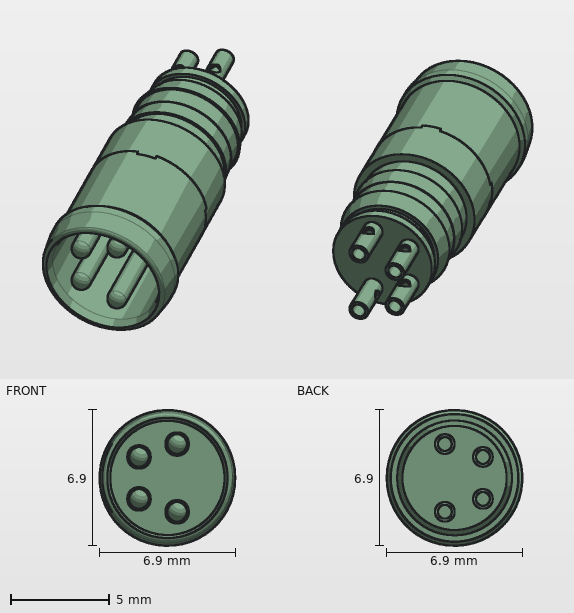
import cadquery as cq

length = 16.4

lip_round_depth = 0.15
collar_taper_end = 1.25
collar_chamfer_start = 1.74
collar_back = 1.98
key_front = 6.3
seam = 6.5
barrel_back = 9.09
sleeve_barb_edge = 10.1
sleeve_barb_root = 11.09
tail_barb_edge = 12.1
groove_front = 13.1
groove_back = 13.6
flange_back = 14.1

lip_diameter = 6.63
lip_round_width = 0.21
lip_round_radius = 0.23
collar_diameter = 6.9
shell_diameter = 6.5
barrel_diameter = 6.48
neck_diameter = 5.63
barb_diameter = 5.84
barb_root_diameter = 5.67
flange_diameter = 5.3
groove_diameter = 4.9

mouth_diameter = 6.12
bore_diameter = 5.8
mouth_taper_depth = 0.5
socket_depth = 6.0

key_width = 1.0
key_count = 4

pin_diameter = 1.0
pin_collar_diameter = 1.2
pin_collar_height = 0.16
dome_center_y = 0.77
left_pin_x = -1.45
left_pin_z = 1.07
right_pin_x = 0.5
right_pin_z = 1.72
cup_diameter = 0.7
solder_hole_diameter = 0.6
solder_hole_y = 14.9
cup_depth = 1.97


def make_body():
    """Revolve the stepped outside and the tapered socket about Y."""
    lip_radius = lip_diameter / 2
    socket_radius = bore_diameter / 2
    outline = (
        cq.Workplane("XY")
        .moveTo(0, socket_depth)
        .lineTo(socket_radius, socket_depth)
        .lineTo(socket_radius, mouth_taper_depth)
        .lineTo(mouth_diameter / 2, 0)
        .lineTo(lip_radius - lip_round_width, 0)
        .radiusArc((lip_radius, lip_round_depth), -lip_round_radius)
        .lineTo(collar_diameter / 2, collar_taper_end)
        .lineTo(collar_diameter / 2, collar_chamfer_start)
        .lineTo(shell_diameter / 2, collar_back)
        .lineTo(shell_diameter / 2, seam)
        .lineTo(barrel_diameter / 2, seam)
        .lineTo(barrel_diameter / 2, barrel_back)
        .lineTo(neck_diameter / 2, barrel_back)
        .lineTo(neck_diameter / 2, sleeve_barb_edge)
        .lineTo(barb_diameter / 2, sleeve_barb_edge)
        .lineTo(barb_root_diameter / 2, sleeve_barb_root)
        .lineTo(neck_diameter / 2, sleeve_barb_root)
        .lineTo(neck_diameter / 2, tail_barb_edge)
        .lineTo(barb_diameter / 2, tail_barb_edge)
        .lineTo(flange_diameter / 2, groove_front)
        .lineTo(groove_diameter / 2, groove_front)
        .lineTo(groove_diameter / 2, groove_back)
        .lineTo(flange_diameter / 2, groove_back)
        .lineTo(flange_diameter / 2, flange_back)
        .lineTo(0, flange_back)
        .close()
    )
    return outline.revolve(360, (0, 0, 0), (0, 1, 0))


def rod(diameter, start, end, x=0, z=0):
    """Cylinder along Y between two stations."""
    start_point = cq.Vector(x, start, z)
    solid = cq.Solid.makeCylinder(diameter / 2, end - start, start_point, cq.Vector(0, 1, 0))
    return cq.Workplane(obj=solid)


def make_key_recesses():
    """Shallow notches in the shell edge that expose the barrel keys."""
    key_length = seam - key_front
    block = cq.Workplane("XY").box(key_width, key_length, shell_diameter)
    block = block.translate((0, (key_front + seam) / 2, shell_diameter / 2))
    blocks = block
    for index in range(1, key_count):
        blocks = blocks.union(block.rotate((0, 0, 0), (0, 1, 0), index * 360 / key_count))
    ring = rod(shell_diameter, key_front, seam).cut(rod(barrel_diameter, key_front, seam))
    return ring.intersect(blocks)


def make_pin(x, z):
    """Contact with a domed tip and a tapered collar on the socket floor."""
    pin = rod(pin_diameter, dome_center_y, length, x, z)
    dome = cq.Workplane("XY").sphere(pin_diameter / 2).translate((x, dome_center_y, z))
    collar = cq.Solid.makeCone(
        pin_diameter / 2,
        pin_collar_diameter / 2,
        pin_collar_height,
        cq.Vector(x, socket_depth - pin_collar_height, z),
        cq.Vector(0, 1, 0),
    )
    return pin.union(dome).union(cq.Workplane(obj=collar))


def make_solder_hole(x, z, direction):
    """Radial hole from the solder cup out through one side of its wall."""
    center = cq.Vector(x, solder_hole_y, z)
    hole = cq.Solid.makeCylinder(
        solder_hole_diameter / 2, pin_diameter, center, cq.Vector(*direction)
    )
    return cq.Workplane(obj=hole)


up = (0, 0, 1)
left = (-1, 0, 0)
pins = [
    (left_pin_x, left_pin_z, up),
    (left_pin_x, -left_pin_z, up),
    (right_pin_x, right_pin_z, up),
    (right_pin_x, -right_pin_z, left),
]

result = make_body().cut(make_key_recesses())
for pin_x, pin_z, hole_direction in pins:
    result = result.union(make_pin(pin_x, pin_z))
    result = result.cut(rod(cup_diameter, length - cup_depth, length, pin_x, pin_z))
    result = result.cut(make_solder_hole(pin_x, pin_z, hole_direction))